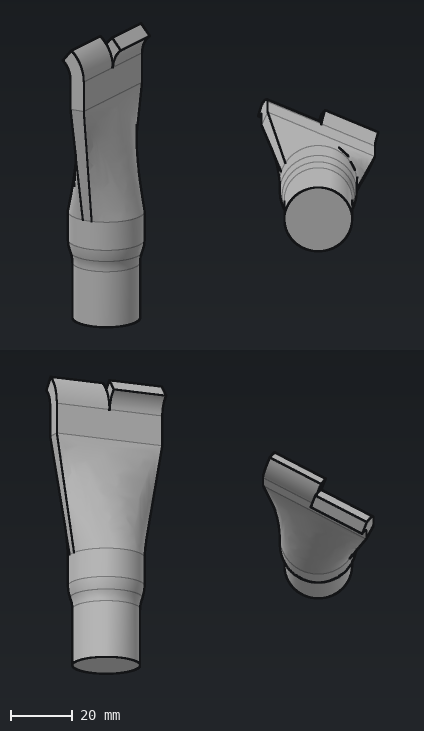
import cadquery as cq
import math

total_height = 95.0
blade_width = 38.0
blade_thickness = 5.0

shank_diameter = 22.0
collar_diameter = 25.0
shank_top = 18.8
shoulder_join = 22.5
collar_bottom = 26.5
collar_top = 36.0

blade_bottom = 75.05
bend_start = 85.0
bend_inner_radius = 8.0
prong_gap = 0.2


def make_shank():
    """Shank and collar joined by an S-shaped shoulder of two tangent arcs."""
    shank_radius = shank_diameter / 2
    collar_radius = collar_diameter / 2
    join_fraction = (shoulder_join - shank_top) / (collar_bottom - shank_top)
    join_radius = shank_radius + join_fraction * (collar_radius - shank_radius)
    return (
        cq.Workplane("XZ")
        .lineTo(shank_radius, 0)
        .lineTo(shank_radius, shank_top)
        .tangentArcPoint((join_radius, shoulder_join), relative=False)
        .tangentArcPoint((collar_radius, collar_bottom), relative=False)
        .lineTo(collar_radius, collar_top)
        .lineTo(0, collar_top)
        .close()
        .revolve(360, (0, 0, 0), (0, 1, 0))
    )


def make_taper():
    """Transition from the round collar to the rectangular blade.

    The collar circle is split into four arcs, one for each side of the rectangle,
    at the directions of the corners.
    """
    radius = collar_diameter / 2
    corner_angle = math.atan2(blade_width, blade_thickness)
    corner_x = radius * math.cos(corner_angle)
    corner_y = radius * math.sin(corner_angle)
    return (
        cq.Workplane("XY")
        .workplane(offset=collar_top)
        .moveTo(-corner_x, -corner_y)
        .threePointArc((0, -radius), (corner_x, -corner_y))
        .threePointArc((radius, 0), (corner_x, corner_y))
        .threePointArc((0, radius), (-corner_x, corner_y))
        .threePointArc((-radius, 0), (-corner_x, -corner_y))
        .close()
        .workplane(offset=blade_bottom - collar_top)
        .rect(blade_thickness, blade_width)
        .loft(ruled=True)
    )


def make_blade():
    """Flat plate below the prongs."""
    return (
        cq.Workplane("XY")
        .workplane(offset=blade_bottom)
        .rect(blade_thickness, blade_width)
        .extrude(bend_start - blade_bottom)
    )


def make_prong():
    """Prong on the -Y half, curled towards -X until its outer edge is at full height."""
    half_thickness = blade_thickness / 2
    outer_radius = bend_inner_radius + blade_thickness
    center_x = -half_thickness - bend_inner_radius
    bend_angle = math.asin((total_height - bend_start) / outer_radius)

    def bend_point(radius, angle):
        return (center_x + radius * math.cos(angle), bend_start + radius * math.sin(angle))

    return (
        cq.Workplane("XZ")
        .workplane(offset=prong_gap / 2)
        .moveTo(-half_thickness, bend_start)
        .lineTo(half_thickness, bend_start)
        .threePointArc(bend_point(outer_radius, bend_angle / 2), bend_point(outer_radius, bend_angle))
        .lineTo(*bend_point(bend_inner_radius, bend_angle))
        .threePointArc(bend_point(bend_inner_radius, bend_angle / 2), (-half_thickness, bend_start))
        .close()
        .extrude((blade_width - prong_gap) / 2)
    )


front_prong = make_prong()
rear_prong = front_prong.rotate((0, 0, 0), (0, 0, 1), 180)

result = make_shank().union(make_taper()).union(make_blade()).union(front_prong).union(rear_prong)